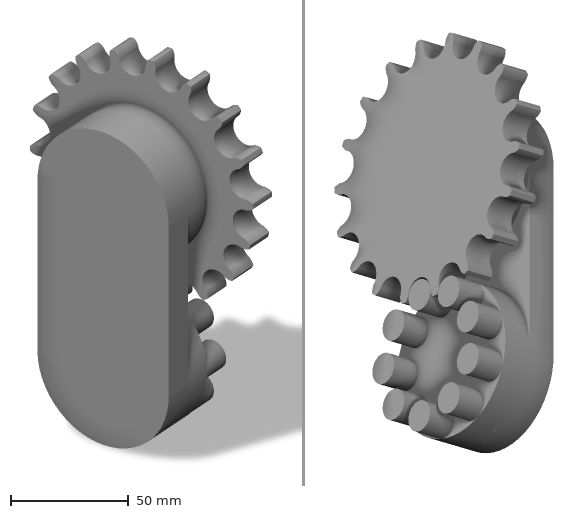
import cadquery as cq
import math


PIN_COUNT = 9
TOOTH_COUNT = 2 * PIN_COUNT
PIN_CIRCLE_RADIUS = 27.6
SPROCKET_PITCH_RADIUS = PIN_CIRCLE_RADIUS * TOOTH_COUNT / PIN_COUNT
CENTER_DISTANCE = SPROCKET_PITCH_RADIUS + PIN_CIRCLE_RADIUS

PIN_RADIUS = 6.9
GAP_RADIUS = 7.0
DISC_RADIUS = PIN_CIRCLE_RADIUS + PIN_RADIUS

TIP_RADIUS = 58.8
TIP_HALF_WIDTH = 1.2
FLANK_BULGE = 0.26

TOOTH_PITCH_ANGLE = 360 / TOOTH_COUNT
PIN_PITCH_ANGLE = 360 / PIN_COUNT
FIRST_TOOTH_ANGLE = TOOTH_PITCH_ANGLE / 4
FIRST_PIN_ANGLE = PIN_PITCH_ANGLE / 4

TOTAL_DEPTH = 41.4
LAYER = TOTAL_DEPTH / 3
PLATE_FRONT = 0
DISC_FRONT = PLATE_FRONT + LAYER
TEETH_FRONT = DISC_FRONT + LAYER


def layer_plane(front):
    """Plane facing +Y; its local x is -X and its local y is +Z."""
    return cq.Workplane(cq.Plane(origin=(0, front, 0), xDir=(-1, 0, 0), normal=(0, 1, 0)))


def polar(radius, angle):
    """Local point at an angle measured clockwise from +Z when looking toward +Y."""
    return (-radius * math.sin(math.radians(angle)), radius * math.cos(math.radians(angle)))


def make_arm():
    """Round-ended plate whose upper end is a hub that reaches back to the sprocket."""
    bar = (
        layer_plane(PLATE_FRONT)
        .center(0, -CENTER_DISTANCE / 2)
        .rect(2 * DISC_RADIUS, CENTER_DISTANCE)
        .extrude(LAYER)
    )
    lower_end = layer_plane(PLATE_FRONT).center(0, -CENTER_DISTANCE).circle(DISC_RADIUS).extrude(LAYER)
    hub = layer_plane(PLATE_FRONT).circle(DISC_RADIUS).extrude(TEETH_FRONT - PLATE_FRONT)
    return hub.union(bar).union(lower_end).solids()


def make_sprocket():
    """Toothed wheel: round gaps on the pitch circle, convex flanks and narrow tips."""
    gap_half_angle = math.degrees(2 * math.asin(GAP_RADIUS / (2 * SPROCKET_PITCH_RADIUS)))
    base_half_angle = TOOTH_PITCH_ANGLE / 2 - gap_half_angle
    tip_half_angle = math.degrees(math.asin(TIP_HALF_WIDTH / TIP_RADIUS))

    flank_radius = (SPROCKET_PITCH_RADIUS + TIP_RADIUS) / 2
    flank_half_angle = (base_half_angle + tip_half_angle) / 2 + math.degrees(FLANK_BULGE / flank_radius)

    gap_root_radius = SPROCKET_PITCH_RADIUS - GAP_RADIUS

    outline = layer_plane(TEETH_FRONT).moveTo(
        *polar(SPROCKET_PITCH_RADIUS, FIRST_TOOTH_ANGLE - base_half_angle)
    )
    for tooth in range(TOOTH_COUNT):
        angle = FIRST_TOOTH_ANGLE + tooth * TOOTH_PITCH_ANGLE
        next_gap = angle + TOOTH_PITCH_ANGLE / 2
        next_base = angle + TOOTH_PITCH_ANGLE - base_half_angle
        outline = (
            outline
            .threePointArc(
                polar(flank_radius, angle - flank_half_angle),
                polar(TIP_RADIUS, angle - tip_half_angle),
            )
            .threePointArc(polar(TIP_RADIUS, angle), polar(TIP_RADIUS, angle + tip_half_angle))
            .threePointArc(
                polar(flank_radius, angle + flank_half_angle),
                polar(SPROCKET_PITCH_RADIUS, angle + base_half_angle),
            )
            .threePointArc(polar(gap_root_radius, next_gap), polar(SPROCKET_PITCH_RADIUS, next_base))
        )
    return outline.close().extrude(LAYER)


def make_pinion():
    """Disc with a ring of round pins that stand between the sprocket teeth."""
    disc = layer_plane(DISC_FRONT).center(0, -CENTER_DISTANCE).circle(DISC_RADIUS).extrude(LAYER)
    pin_centers = [
        polar(PIN_CIRCLE_RADIUS, FIRST_PIN_ANGLE + pin * PIN_PITCH_ANGLE) for pin in range(PIN_COUNT)
    ]
    pins = (
        layer_plane(TEETH_FRONT)
        .center(0, -CENTER_DISTANCE)
        .pushPoints(pin_centers)
        .circle(PIN_RADIUS)
        .extrude(LAYER)
    )
    return disc.union(pins).solids()


arm = make_arm()
sprocket = make_sprocket()
pinion = make_pinion()

result = cq.Compound.makeCompound([arm.val(), sprocket.val(), pinion.val()])